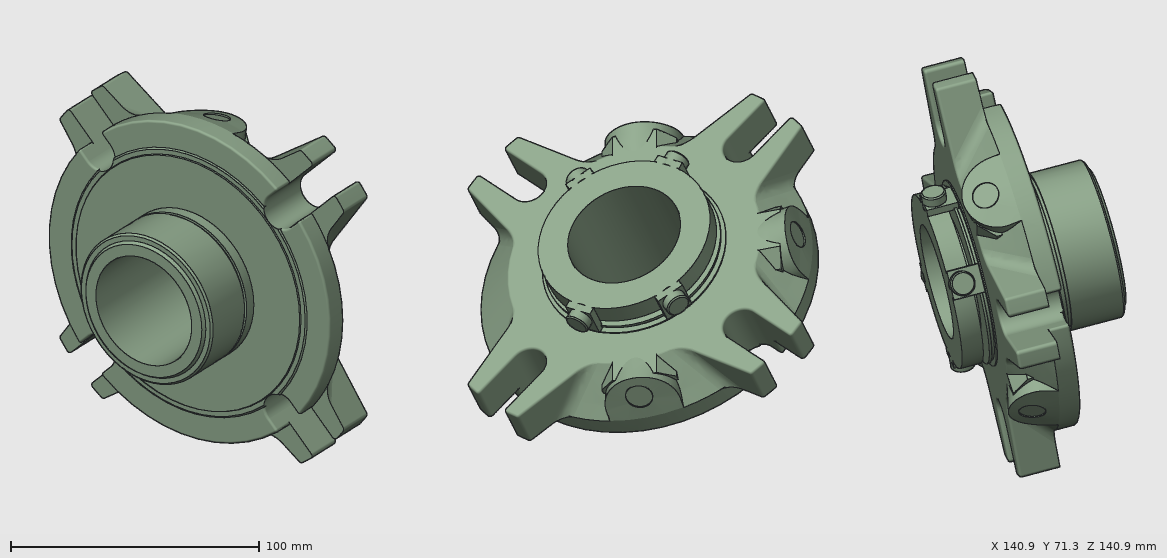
import cadquery as cq
import math

OVERALL = 140.9
TOLERANCE = 0.01
PLATE_TOP = 16.9
RIM_RADIUS = 70.0
RIM_FRONT = -8.7
RIM_FILLET = 1.0
CORE_TOP_RADIUS = 53.3
BORE_DIAMETER = 47.6

FACE_STEP_RADIUS = 58.6
FACE_STEP_FRONT = -9.2
FACE_STEP_CHAMFER = 0.7
FACE_RADIUS = 111.7 / 2
FACE_EDGE_RADIUS = 111.2 / 2
FACE_FRONT = -9.7

SLEEVE_RADIUS = 65.7 / 2
SLEEVE_FRONT = -38.6
SLEEVE_CHAMFER = 0.8
GROOVE_RADIUS = 63.5 / 2
GROOVE_BACK = -14.7
GROOVE_FRONT = -16.0
NOSE_RADIUS = 59.6 / 2
NOSE_FRONT = -40.0
NOSE_CHAMFER = 1.0

PAD_RADIUS = 38.7
PAD_TOP = 17.5
NECK_RADIUS = 72.5 / 2
NECK_TOP = 18.7
LIP_RADIUS = 74.4 / 2
LIP_TOP = 19.9
SHAFT_RADIUS = 50.7 / 2
RING_BOTTOM = 22.1
RING_TOP = 31.0

DIAGONALS = (45, 135, 225, 315)
SLOT_HALF_WIDTH = 7.5
SLOT_CENTER = 63.4
EAR_ROOT_REACH = 42.3
EAR_RIM_REACH = 67.2
EAR_RIM_OFFSET = 18.5
EAR_DRAFT = math.radians(10.3)
EAR_CORNER = 1.4
EAR_TOP_FILLET = 1.1
EAR_ROOT_FILLET = 6.0

EAR_SLOPE = math.tan(EAR_DRAFT)
CORNER_REACH = (
    (OVERALL / 2 - EAR_CORNER) * math.sqrt(2)
    - EAR_RIM_OFFSET
    - EAR_SLOPE * EAR_RIM_REACH
    + EAR_CORNER / math.cos(EAR_DRAFT)
) / (1 - EAR_SLOPE)
CORNER_OFFSET = (OVERALL / 2 - EAR_CORNER) * math.sqrt(2) - CORNER_REACH
EAR_TIP_RADIUS = math.hypot(CORNER_REACH, CORNER_OFFSET) + EAR_CORNER

LUG_ANGLES = (90, 180, 270)
LUG_TILT = 16.0
LUG_DRAFT = 2.5
LUG_HALF_WIDTH = 15.5
LUG_TOP = 19.9
LUG_DEPTH = 25.4
LUG_BACK_RADIUS = 62.0
LUG_BACK_HALF_WIDTH = 15.8
LUG_BACK_SHOULDER = 10.4
LUG_SPOT_DIAMETER = 11.0
LUG_SPOT_HEIGHT = 10.5
LUG_SPOT_DEPTH = 0.7

CLIP_ANGLES = (60, 120, 240, 300)
CLIP_BOTTOM = 17.9
CLIP_INNER = 35.9
CLIP_OUTER = 39.0
CLIP_HALF_WIDTH = 5.9
HEAD_DIAMETER = 10.0
HEAD_OUTER = 43.1
HEAD_CHAMFER = 0.5
HEAD_TOP = 31.3


def turned(points):
    """Solid of revolution about Y from (radius, y) points."""
    return cq.Workplane("XY").polyline(points).close().revolve(360, (0, 0, 0), (0, 1, 0))


def disc(radius, bottom, top):
    return turned([(0, bottom), (radius, bottom), (radius, top), (0, top)])


def extruded(sketch_points, bottom, top):
    """Prism along Y from (x, z) points."""
    plane = cq.Plane(origin=(0, bottom, 0), xDir=(0, 0, 1), normal=(0, 1, 0))
    return cq.Workplane(plane).polyline([(z, x) for x, z in sketch_points]).close().extrude(top - bottom)


def placed(body, angle):
    """Turn a body built along +X to the given angle from +X towards +Z."""
    return body.rotate((0, 0, 0), (0, 1, 0), -angle)


def make_slot():
    """Round-ended slot along +X, open at its outer end."""
    height = PLATE_TOP - FACE_FRONT
    mid = (PLATE_TOP + FACE_FRONT) / 2
    length = EAR_TIP_RADIUS - SLOT_CENTER
    channel = cq.Workplane("XY").box(length, height, 2 * SLOT_HALF_WIDTH).translate(
        (SLOT_CENTER + length / 2, mid, 0))
    end = disc(SLOT_HALF_WIDTH, FACE_FRONT, PLATE_TOP).translate((SLOT_CENTER, 0, 0))
    return channel.union(end)


def cut_slots(body):
    for angle in DIAGONALS:
        body = body.cut(placed(make_slot(), angle))
    return body


def axis_distance(edge):
    center = edge.Center()
    return math.hypot(center.x, center.z)


def make_rim():
    """Slotted rim with rounded slot mouths and front edges."""
    rim = cut_slots(disc(RIM_RADIUS, RIM_FRONT, 0))
    corners = [edge for edge in rim.edges("|Y").vals() if axis_distance(edge) > RIM_RADIUS - TOLERANCE]
    rim = rim.newObject(corners).fillet(RIM_FILLET)
    return rim.faces("<Y").edges().fillet(RIM_FILLET)


def make_raised_face():
    face = turned([
        (0, 0),
        (FACE_STEP_RADIUS, 0),
        (FACE_STEP_RADIUS, RIM_FRONT),
        (FACE_STEP_RADIUS - FACE_STEP_CHAMFER, FACE_STEP_FRONT),
        (FACE_RADIUS, FACE_STEP_FRONT),
        (FACE_EDGE_RADIUS, FACE_FRONT),
        (0, FACE_FRONT),
    ])
    return cut_slots(face)


def make_core():
    return turned([(0, 0), (RIM_RADIUS, 0), (CORE_TOP_RADIUS, PLATE_TOP), (0, PLATE_TOP)])


def make_ear(side):
    """One ear beside the slot along +X; side is +1 or -1."""
    def outer_offset(reach):
        return EAR_RIM_OFFSET - EAR_SLOPE * (reach - EAR_RIM_REACH)

    stock_end = EAR_TIP_RADIUS + EAR_CORNER
    points = [
        (EAR_ROOT_REACH, 0),
        (SLOT_CENTER, 0),
        (SLOT_CENTER, side * SLOT_HALF_WIDTH),
        (stock_end, side * SLOT_HALF_WIDTH),
        (stock_end, side * outer_offset(stock_end)),
        (EAR_ROOT_REACH, side * outer_offset(EAR_ROOT_REACH)),
    ]
    ear = extruded(points, 0, PLATE_TOP)
    ear = ear.intersect(disc(EAR_TIP_RADIUS, 0, PLATE_TOP))
    return ear.faces(">X").edges("|Y").fillet(EAR_CORNER)


def make_lug():
    """Tilted lug on +X with a spotface, standing on a chamfered backing block."""
    tilt = math.radians(LUG_TILT)
    plane = cq.Plane(origin=(RIM_RADIUS, 0, 0), xDir=(0, 0, -1),
                     normal=(math.cos(tilt), math.sin(tilt), 0))
    crown = LUG_TOP / math.cos(tilt)
    shoulder = crown - LUG_HALF_WIDTH
    lug = (
        cq.Workplane(plane)
        .moveTo(-LUG_HALF_WIDTH, 0)
        .lineTo(LUG_HALF_WIDTH, 0)
        .lineTo(LUG_HALF_WIDTH, shoulder)
        .threePointArc((0, crown), (-LUG_HALF_WIDTH, shoulder))
        .close()
        .extrude(-LUG_DEPTH, taper=-LUG_DRAFT)
    )
    face_cone = turned([
        (0, RIM_FRONT),
        (RIM_RADIUS, RIM_FRONT),
        (RIM_RADIUS, 0),
        (RIM_RADIUS - LUG_TOP * math.tan(tilt), LUG_TOP),
        (0, LUG_TOP),
    ])
    spot = (
        cq.Workplane(plane)
        .center(0, LUG_SPOT_HEIGHT / math.cos(tilt))
        .circle(LUG_SPOT_DIAMETER / 2)
        .extrude(-LUG_SPOT_DEPTH)
    )
    lug = lug.intersect(face_cone).cut(spot)
    backing = (
        cq.Workplane("YZ")
        .rect(2 * PLATE_TOP, 2 * LUG_BACK_HALF_WIDTH)
        .extrude(LUG_BACK_RADIUS)
        .edges("|X and >Y")
        .chamfer(PLATE_TOP - LUG_BACK_SHOULDER)
        .intersect(disc(LUG_BACK_RADIUS, 0, PLATE_TOP))
    )
    return lug.union(backing)


def make_clip():
    """Flat clip outside the ring, with a round screw head facing outwards."""
    plate = extruded([
        (CLIP_INNER, -CLIP_HALF_WIDTH),
        (CLIP_OUTER, -CLIP_HALF_WIDTH),
        (CLIP_OUTER, CLIP_HALF_WIDTH),
        (CLIP_INNER, CLIP_HALF_WIDTH),
    ], CLIP_BOTTOM, RING_TOP)
    head = (
        cq.Workplane("YZ", origin=(CLIP_INNER, HEAD_TOP - HEAD_DIAMETER / 2, 0))
        .circle(HEAD_DIAMETER / 2)
        .extrude(HEAD_OUTER - CLIP_INNER)
        .faces(">X")
        .chamfer(HEAD_CHAMFER)
    )
    return plate.union(head)


def make_sleeve():
    return turned([
        (0, 0),
        (SLEEVE_RADIUS, 0),
        (SLEEVE_RADIUS, GROOVE_BACK),
        (GROOVE_RADIUS, GROOVE_BACK),
        (GROOVE_RADIUS, GROOVE_FRONT),
        (SLEEVE_RADIUS, GROOVE_FRONT),
        (SLEEVE_RADIUS, SLEEVE_FRONT + SLEEVE_CHAMFER),
        (SLEEVE_RADIUS - SLEEVE_CHAMFER, SLEEVE_FRONT),
        (NOSE_RADIUS, SLEEVE_FRONT),
        (NOSE_RADIUS - NOSE_CHAMFER, NOSE_FRONT),
        (0, NOSE_FRONT),
    ])


def make_collar():
    return turned([
        (0, 0),
        (PAD_RADIUS, 0),
        (PAD_RADIUS, PAD_TOP),
        (NECK_RADIUS, PAD_TOP),
        (NECK_RADIUS, NECK_TOP),
        (LIP_RADIUS, NECK_TOP),
        (LIP_RADIUS, LIP_TOP),
        (SHAFT_RADIUS, LIP_TOP),
        (SHAFT_RADIUS, RING_BOTTOM),
        (NECK_RADIUS, RING_BOTTOM),
        (NECK_RADIUS, RING_TOP),
        (0, RING_TOP),
    ])


def is_ear_root(edge):
    """True for the slanted edges where an ear's outer side meets the core's cone."""
    low, high = sorted((edge.startPoint(), edge.endPoint()), key=lambda point: point.y)
    low_radius = math.hypot(low.x, low.z)
    high_radius = math.hypot(high.x, high.z)
    return abs(low_radius - RIM_RADIUS) < TOLERANCE and abs(high_radius - CORE_TOP_RADIUS) < TOLERANCE


def make_back_body():
    """Conical core with eight ears, blended at the ear roots and rounded on top."""
    body = make_core()
    for angle in DIAGONALS:
        for side in (1, -1):
            body = body.union(placed(make_ear(side), angle))
    roots = [edge for edge in body.edges().vals() if is_ear_root(edge)]
    body = body.newObject(roots).fillet(EAR_ROOT_FILLET)
    body = cut_slots(body)
    return body.faces(">Y").edges().fillet(EAR_TOP_FILLET)


result = make_back_body().union(make_rim()).union(make_raised_face())
for angle in LUG_ANGLES:
    result = result.union(placed(make_lug(), angle))
result = result.union(make_sleeve()).union(make_collar())
for angle in CLIP_ANGLES:
    result = result.union(placed(make_clip(), angle))
result = result.cut(disc(BORE_DIAMETER / 2, NOSE_FRONT, RING_TOP))